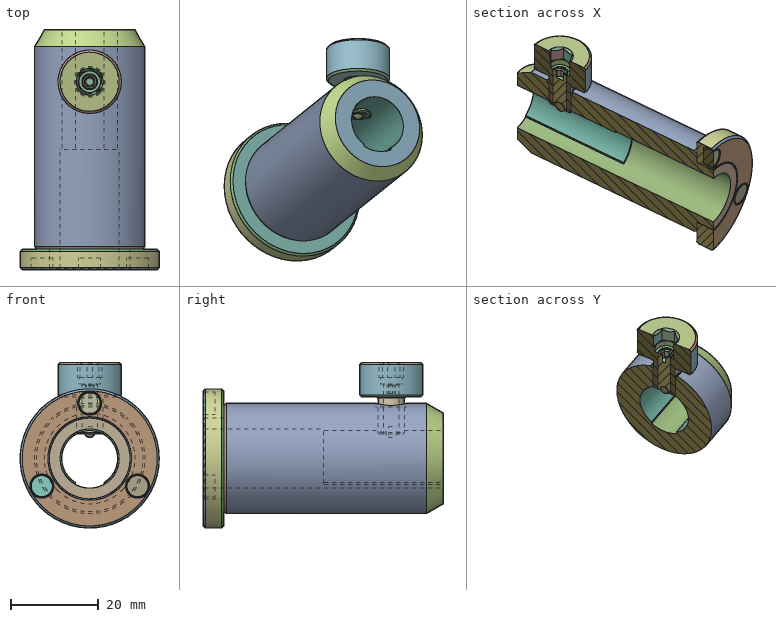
import cadquery as cq
import math

total_length = 54.7

flange_radius = 15.85
flange_thickness = 4.7
flange_chamfer = 0.5
magnet_count = 3
magnet_radius = 2.5
magnet_length = 2.75
magnet_circle_radius = 12.6
magnet_chamfer = 0.1
magnet_hole_chamfer = 0.2

tube_radius = 12.6
tube_shoulder_length = 0.65
tube_shoulder_drop = 0.45
nose_length = 3.9
nose_radius = 10.35
spigot_radius = 9.2
spigot_hole_chamfer = 0.35
bore_radius = 6.35
counterbore_radius = 6.75
counterbore_depth = 27.35
relief_width = 6.55

screw_y = 42.85
screw_turn = -42.0
knob_radius = 7.2
knob_top = 21.9
knob_bottom = 14.0
knob_chamfer = 0.5
shank_radius = 3.0
shank_bottom = 5.6
shank_end_chamfer = 0.35
shank_collar = 0.3
shank_clearance = 0.5
shank_clearance_depth = 0.8
key_width = 5.05
key_depth = 3.4
key_countersink_radius = 3.05
well_radius = 2.45
well_depth = 4.9

plunger_radius = 1.8
plunger_chamfer = 0.2
plunger_key_width = 1.7
plunger_key_depth = 2.2
plunger_countersink_radius = 1.2
ball_radius = 1.25
ball_bottom = 4.75

plunger_top = knob_top - well_depth
ball_center = (0, screw_y, ball_bottom + ball_radius)


def rod(radius, y_start, y_end, x=0, z=0):
    """Cylinder along Y between two positions."""
    plane = cq.Plane(origin=(x, y_start, z), xDir=(1, 0, 0), normal=(0, 1, 0))
    return cq.Workplane(plane).circle(radius).extrude(y_end - y_start)


def post(radius, z_start, z_end):
    """Vertical cylinder on the screw axis."""
    return cq.Workplane("XY", origin=(0, screw_y, z_start)).circle(radius).extrude(z_end - z_start)


def cone(base, direction, base_radius, end_radius):
    """45 degree cone frustum, standing on its base."""
    height = base_radius - end_radius
    solid = cq.Solid.makeCone(base_radius, end_radius, height, cq.Vector(*base), cq.Vector(*direction))
    return cq.Workplane(solid)


def hex_socket(width, top, depth, countersink_radius):
    """Hexagonal key socket on the screw axis with a countersunk mouth."""
    corner_diameter = width / math.cos(math.pi / 6)
    hexagon = (
        cq.Workplane("XY", origin=(0, screw_y, top))
        .transformed(rotate=(0, 0, screw_turn))
        .polygon(6, corner_diameter)
        .extrude(-depth)
    )
    return hexagon.union(cone((0, screw_y, top), (0, 0, -1), countersink_radius, width / 2))


def magnet_centers():
    """X and Z of each magnet, the first one straight above the tube axis."""
    angles = [math.radians(90 + 360 * i / magnet_count) for i in range(magnet_count)]
    return [(magnet_circle_radius * math.cos(a), magnet_circle_radius * math.sin(a)) for a in angles]


def make_magnet(x, z):
    """Disc magnet, flush with the front face."""
    return rod(magnet_radius, 0, magnet_length, x, z).faces("<Y").chamfer(magnet_chamfer)


def make_flange():
    """Chamfered disc with a hole for the tube spigot and blind holes for the magnets."""
    flange = rod(flange_radius, 0, flange_thickness).edges().chamfer(flange_chamfer)
    flange = flange.cut(rod(spigot_radius, 0, flange_thickness))
    flange = flange.cut(cone((0, 0, 0), (0, 1, 0), spigot_radius + spigot_hole_chamfer, spigot_radius))
    for x, z in magnet_centers():
        flange = flange.cut(rod(magnet_radius, 0, magnet_length, x, z))
        flange = flange.cut(cone((x, 0, z), (0, 1, 0), magnet_radius + magnet_hole_chamfer, magnet_radius))
    return flange


def tube_blank():
    """Solid of revolution: front spigot, chamfered shoulder, body and tapered nose."""
    return (
        cq.Workplane("YZ")
        .lineTo(0, spigot_radius)
        .lineTo(flange_thickness, spigot_radius)
        .lineTo(flange_thickness, tube_radius - tube_shoulder_drop)
        .lineTo(flange_thickness + tube_shoulder_length, tube_radius)
        .lineTo(total_length - nose_length, tube_radius)
        .lineTo(total_length, nose_radius)
        .lineTo(total_length, 0)
        .close()
        .revolve(360, (0, 0, 0), (1, 0, 0))
    )


def make_tube():
    """Tube with a stepped bore, a flat-sided relief along the bore bottom and the screw hole."""
    relief = rod(counterbore_radius, 0, total_length).intersect(
        cq.Workplane("XY").rect(relief_width, 2 * total_length).extrude(-counterbore_radius)
    )
    mouth_floor = tube_radius - shank_clearance_depth
    return (
        tube_blank()
        .cut(rod(bore_radius, 0, total_length))
        .cut(rod(counterbore_radius, 0, counterbore_depth))
        .cut(relief)
        .cut(post(shank_radius, 0, tube_radius))
        .cut(post(shank_radius + shank_clearance, mouth_floor, tube_radius))
    )


def make_thumbscrew():
    """Knob and shank with a key socket, a round well below it and a hole for the plunger."""
    knob = post(knob_radius, knob_bottom, knob_top).edges().chamfer(knob_chamfer)
    shank = post(shank_radius, shank_bottom, knob_bottom).faces("<Z").chamfer(shank_end_chamfer)
    collar = cone((0, screw_y, knob_bottom), (0, 0, -1), shank_radius + shank_collar, shank_radius)
    return (
        knob.union(shank)
        .union(collar)
        .cut(hex_socket(key_width, knob_top, key_depth, key_countersink_radius))
        .cut(post(well_radius, plunger_top, knob_top))
        .cut(post(plunger_radius, shank_bottom, plunger_top))
    )


def make_ball():
    """Ball that stands proud of the lower end of the plunger."""
    return cq.Workplane("XY").sphere(ball_radius).translate(ball_center)


def make_plunger():
    """Set screw flush with the floor of the well, with a seat for the ball at its lower end."""
    return (
        post(plunger_radius, shank_bottom, plunger_top)
        .faces(">Z")
        .chamfer(plunger_chamfer)
        .cut(hex_socket(plunger_key_width, plunger_top, plunger_key_depth, plunger_countersink_radius))
        .cut(make_ball())
    )


flange = make_flange()
tube = make_tube()
magnets = [make_magnet(x, z).val() for x, z in magnet_centers()]
thumbscrew = make_thumbscrew()
plunger = make_plunger()
ball = make_ball()

result = cq.Compound.makeCompound(
    [flange.val(), tube.val(), *magnets, thumbscrew.val(), plunger.val(), ball.val()]
)